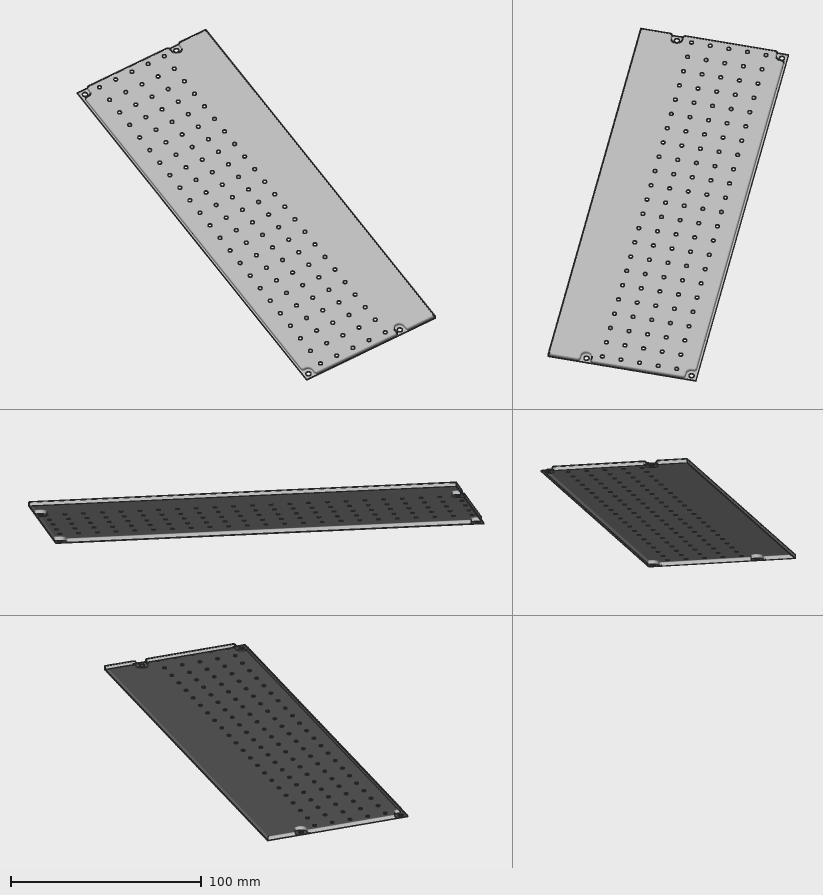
import cadquery as cq
length = 228.4
width = 79.5
thickness = 2.5
sheet = 0.5
top_fillet = 1.0
foot_fillet = 0.2

lip_width = 1.0

columns = 23
rows = 5
grid_length = 220.0
pitch = grid_length / (columns - 1)
grid_hole_diameter = 2.0
first_row_inset = 11.2

screw_inset = 3.0
screw_hole_diameter = 2.7
screw_row_spacing = 56.5
recess_radius = 2.7
mouth_fillet = 1.4

clearance = 2.3

half_length = length / 2
front = -width / 2
back = width / 2
wall_y = front + lip_width
screw_x = half_length - screw_inset
front_screw_y = front + screw_inset
rear_screw_y = front_screw_y + screw_row_spacing
screw_points = [(side * screw_x, y) for side in (-1, 1) for y in (front_screw_y, rear_screw_y)]


def make_block(x_range, y_range, height):
    """Block standing on the XY plane between the given limits."""
    x_min, x_max = sorted(x_range)
    y_min, y_max = sorted(y_range)
    block = cq.Workplane("XY").box(x_max - x_min, y_max - y_min, height, centered=False)
    return block.translate((x_min, y_min, 0))


def make_recess(x, y, radius):
    """Round-ended cutter that runs out through the nearest end of the cover."""
    side = 1 if x > 0 else -1
    end_x = side * (half_length + clearance)
    cutter = cq.Workplane("XY").center(x, y).circle(radius).extrude(thickness)
    if y == front_screw_y:
        cutter = cutter.union(make_block((x, end_x), (front - clearance, y + radius), thickness))
        return cutter.union(make_block((x - side * radius, end_x), (front - clearance, y), thickness))
    return cutter.union(make_block((x, end_x), (y - radius, y + radius), thickness))


def make_raised_block(inset):
    """Solid raised part of the cover, with every face but the bottom moved inwards by the inset."""
    end_x = half_length - inset
    front_y = wall_y + inset
    height = thickness - inset
    radius = recess_radius + inset
    block = make_block((-end_x, end_x), (front_y, back - inset), height)
    for x, y in screw_points:
        block = block.cut(make_recess(x, y, radius))

    for side in (-1, 1):
        mouth_corners = [
            (side * (screw_x - radius), front_y),
            (side * end_x, front_screw_y + radius),
            (side * end_x, rear_screw_y - radius),
            (side * end_x, rear_screw_y + radius),
        ]
        for x, y in mouth_corners:
            corner = cq.selectors.NearestToPointSelector((x, y, height / 2))
            block = block.edges("|Z").edges(corner).fillet(mouth_fillet - inset)
    return block.faces(">Z").edges().fillet(top_fillet - inset)


def make_cover():
    """Raised block on its floor, rounded along its foot and hollowed from below."""
    floor_x = half_length + clearance
    floor_y = back + clearance
    floor = make_block((-floor_x, floor_x), (-floor_y, floor_y), sheet)
    foot = cq.selectors.BoxSelector(
        (-half_length - foot_fillet, front - foot_fillet, sheet - foot_fillet),
        (half_length + foot_fillet, back + foot_fillet, sheet + foot_fillet),
    )
    cover = floor.union(make_raised_block(0)).edges(foot).fillet(foot_fillet)
    cover = cover.intersect(make_block((-half_length, half_length), (front, back), thickness))
    return cover.cut(make_raised_block(sheet))


def make_hole_pins(centers, diameter):
    return centers.circle(diameter / 2).extrude(thickness)


grid_center_y = front + first_row_inset + (rows - 1) * pitch / 2
grid_points = cq.Workplane("XY").center(0, grid_center_y).rarray(pitch, pitch, columns, rows)
screw_centers = cq.Workplane("XY").pushPoints(screw_points)

result = make_cover()
result = result.cut(make_hole_pins(grid_points, grid_hole_diameter))
result = result.cut(make_hole_pins(screw_centers, screw_hole_diameter))